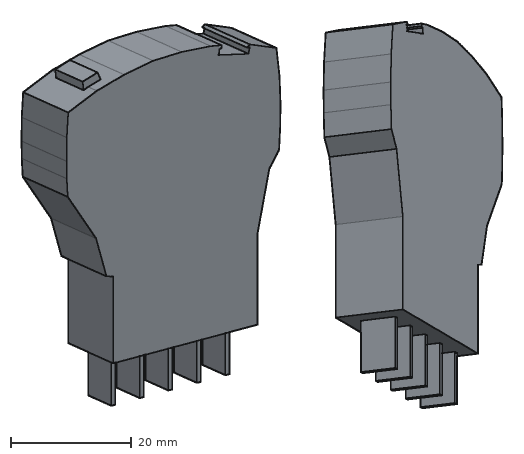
import cadquery as cq

housing_width = 12.3
housing_height = 52.0

plug_front_y = -14.35
plug_back_y = 16.0
plug_front_top_z = 15.4
plug_back_top_z = 16.1

front_slope = [(-15.75, 15.75), (-17.95, 23.0)]
front_facets = [(-23.9, 31.7), (-24.1, 35.0), (-24.15, 38.1), (-24.1, 42.3)]

dome_facets = [
    (-23.8, 46.65),
    (-17.75, 49.15),
    (-12.0, 50.7),
    (-5.9, 51.8),
    (0.1, housing_height),
    (6.2, 51.65),
]

latch_groove = [
    (8.45, 51.3),
    (8.45, 50.85),
    (8.0, 50.65),
    (7.85, 49.7),
    (14.1, 48.5),
    (14.35, 49.6),
    (13.85, 49.65),
    (14.4, 50.1),
]

back_facets = [(20.0, 48.2), (20.65, 43.0), (20.85, 38.1), (20.8, 34.2), (20.55, 30.0)]
back_slope = [(18.5, 27.1), (plug_back_y, plug_back_top_z)]

nub_width = 7.5
nub_top_back = (-15.8, 51.25)
nub_top_front = (-18.9, 50.3)
nub_base_back = (-15.05, 49.7)
nub_base_front = (-18.7, 48.6)
nub_root_depth = 1.0

pin_count = 5
pin_pitch = 6.0
pin_thickness = 0.85
pin_width = 6.3
pin_length = 8.85


def extrude_across(outline, width):
    """Extrude a closed YZ outline by width, centred on X = 0."""
    return cq.Workplane("YZ").polyline(outline).close().extrude(width / 2, both=True)


def make_housing():
    plug_base = [
        (plug_back_y, 0),
        (plug_front_y, 0),
        (plug_front_y, plug_front_top_z),
    ]
    front_side = front_slope + front_facets
    top = dome_facets + latch_groove
    back_side = back_facets + back_slope
    return extrude_across(plug_base + front_side + top + back_side, housing_width)


def make_nub():
    """Block with a sloped top; its root runs down into the housing."""
    front_y, front_z = nub_base_front
    back_y, back_z = nub_base_back
    outline = [
        nub_base_back,
        nub_top_back,
        nub_top_front,
        nub_base_front,
        (front_y, front_z - nub_root_depth),
        (back_y, back_z - nub_root_depth),
    ]
    return extrude_across(outline, nub_width)


def make_pins():
    row_positions = [(0, (i - (pin_count - 1) / 2) * pin_pitch) for i in range(pin_count)]
    return (
        cq.Workplane("XY")
        .pushPoints(row_positions)
        .rect(pin_width, pin_thickness)
        .extrude(-pin_length)
    )


result = make_housing().union(make_nub()).union(make_pins())